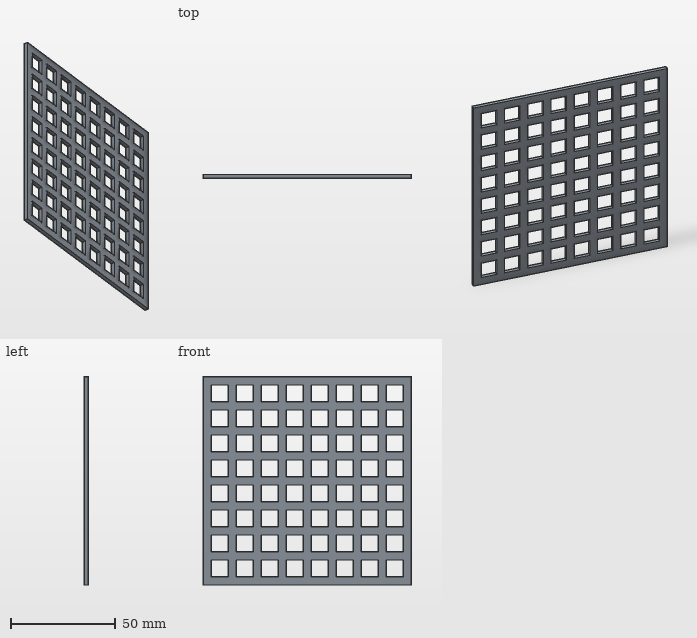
import cadquery as cq

plate_side = 100.0
plate_thickness = 2.0
holes_per_side = 8
bar_width = 4.0

hole_side = (plate_side - (holes_per_side + 1) * bar_width) / holes_per_side
hole_pitch = hole_side + bar_width


def make_plate():
    """Solid plate centred on the origin."""
    return cq.Workplane("XY").box(plate_side, plate_thickness, plate_side)


def cut_hole_grid(plate):
    """Cut the square grid of square holes through the full thickness."""
    return (
        plate.faces("<Y")
        .workplane(centerOption="CenterOfMass")
        .rarray(hole_pitch, hole_pitch, holes_per_side, holes_per_side)
        .rect(hole_side, hole_side)
        .cutThruAll()
    )


result = cut_hole_grid(make_plate())